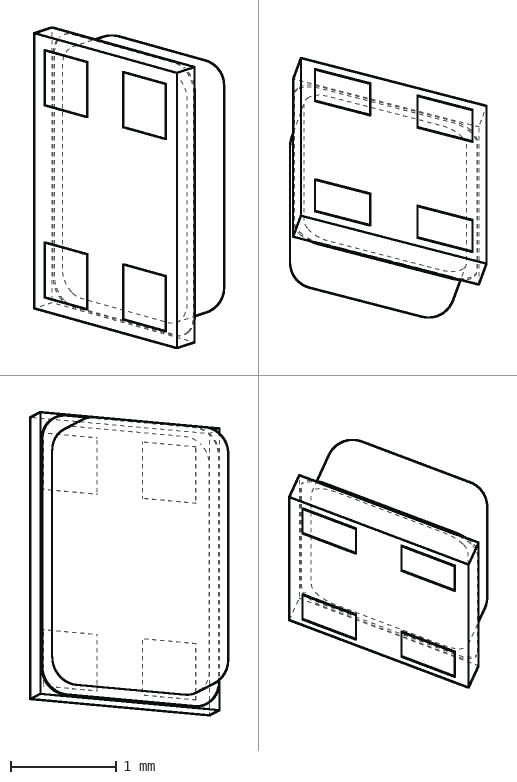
import cadquery as cq

board_width = 1.85
board_height = 2.75
board_thickness = 0.25

pad_size = 0.55
pad_margin = 0.14
pad_thickness = 0.005

seat_margin = 0.015
seat_thickness = 0.02

total_depth = 0.95
lid_margin = 0.115
corner_radius = 0.25

board_front = pad_thickness
board_back = board_front + board_thickness
seat_back = board_back + seat_thickness


def plate(margin, start, end):
    """Centred plate from Y=start to Y=end, inset from the board outline."""
    width = board_width - 2 * margin
    height = board_height - 2 * margin
    depth = end - start
    return cq.Workplane("XY").box(width, depth, height).translate((0, start + depth / 2, 0))


def make_board():
    return plate(0, board_front, board_back)


def make_seat():
    return plate(seat_margin, board_back, seat_back).edges("|Y").fillet(corner_radius)


def make_lid():
    """Lid with rounded upright corners and a rounded outer rim."""
    lid = plate(lid_margin, seat_back, total_depth)
    return lid.edges("|Y or >Y").fillet(corner_radius)


def make_pads():
    """Four square pads near the corners, standing proud of the board face."""
    x_pitch = board_width - 2 * pad_margin - pad_size
    z_pitch = board_height - 2 * pad_margin - pad_size
    return (
        cq.Workplane("XZ", origin=(0, board_front, 0))
        .rarray(x_pitch, z_pitch, 2, 2)
        .rect(pad_size, pad_size)
        .extrude(pad_thickness)
    )


result = make_board().union(make_seat()).union(make_lid()).union(make_pads())